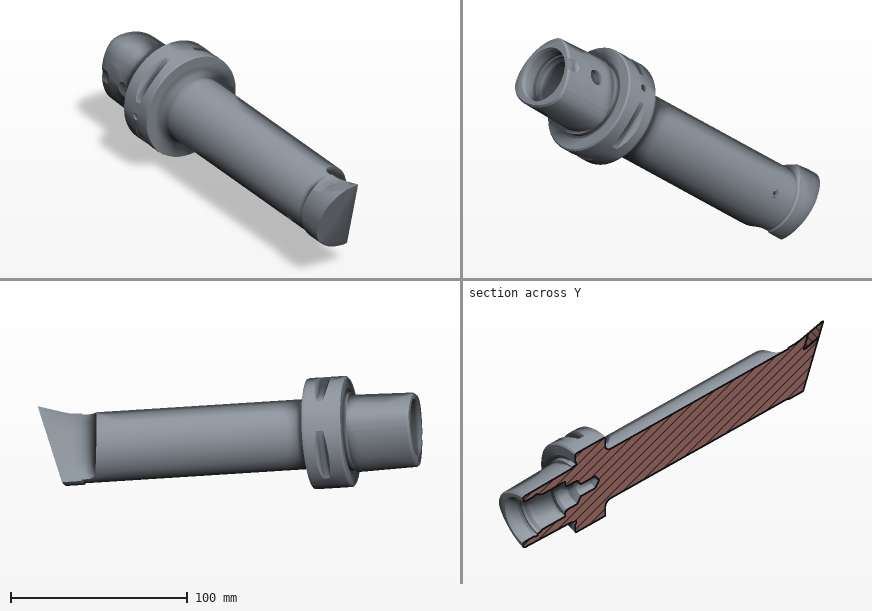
import cadquery as cq
import math


SHANK_END = 35.8
FLANGE_START = 37.7
FLANGE_END = 60.0
BAR_END = 191.6
TIP_X = 218.0

LOBE_HEIGHT = 1.61
SHANK_REAR_DIAMETER = 42.0
SHANK_TAPER = 0.025
SHANK_CHAMFER = 1.3
SHANK_CHAMFER_DROP = 0.9
LOBE_COUNT = 3
CURVE_STEPS = 8
NECK_RADIUS = 22.2
DRIVE_HOLE_X = 22.5
DRIVE_HOLE_RADIUS = 4.5
DRIVE_HOLE_DEPTH = 3.0
KEYWAY_RADIUS = 6.5
KEYWAY_FLOOR = 17.9
KEYWAY_LENGTH = 6.0
KEYWAY_CONE_ANGLE = 35.0
DRILL_POINT_ANGLE = 59.0

MOUTH_RADIUS = 16.4
ENTRY_RADIUS = 15.7
ENTRY_CHAMFER = 2.2
UNDERCUT_START = 8.5
UNDERCUT_END = 10.7
UNDERCUT_RADIUS = 16.4
STEP_RADIUS = 15.0
CONE_START = 12.5
CONE_END = 14.2
BORE_RADIUS = 13.7
BORE_DEPTH = 30.5
PILOT_MOUTH_RADIUS = 10.5
PILOT_RADIUS = 9.2
PILOT_DEPTH = 39.2
COOLANT_RADIUS = 4.5
COOLANT_DEPTH = 52.3

FLANGE_DIAMETER = 63.0
FLANGE_RADIUS = FLANGE_DIAMETER / 2
FLANGE_CHAMFER = 0.9
FLANGE_BEVEL = 1.3
FLANGE_BEVEL_DROP = 0.2
FACE_RECESS_RADIUS = 24.2
FACE_RECESS_DEPTH = 0.9
GROOVE_X = 49.7
GROOVE_FLOOR = 27.7
GROOVE_FLOOR_WIDTH = 3.7
GROOVE_RIM_WIDTH = 7.8
GROOVE_COUNT = 4
MARK_HOLE_RADIUS = 2.2
MARK_HOLE_DEPTH = 3.3

BAR_RADIUS = 19.8
BAR_FILLET = 4.0

HEAD_RADIUS = 20.7
HEAD_STRIP = 3.5
HEAD_TOP_RADIUS = 24.6
TIP_Z = 26.8
EDGE_ANGLE = 17.5
TOP_SLOPE_START = 202.5
TOP_ARC_START = 194.5
TOP_RELIEF = 0.15
FRONT_RELIEF = 0.1
RAKE_ANGLE = 3.6
SHOULDER_X = 189.2
SHOULDER_FILLET = 6.0
SHOULDER_ANGLE = 13.0

INSERT_EDGE = 11.5
INSERT_THICKNESS = 4.1
SCREW_X = 176.0
SCREW_ANGLE = 30.0
SCREW_RADIUS = 2.5
SCREW_LENGTH = 7.6
SCREW_CHAMFER = 0.5
SCREW_INSET = 0.5
SCREW_BOTTOM = BAR_RADIUS - SCREW_INSET - SCREW_LENGTH
SOCKET_SIDES = 6
SOCKET_FLATS = 2.6
SOCKET_DEPTH = 2.6

CLEARANCE = 4.4
DIAGONAL = math.sqrt(0.5)


def revolved(points):
    """Solid of revolution about the X axis from (x, radius) points."""
    profile = cq.Workplane("XY").polyline(points).close()
    return profile.revolve(360, (0, 0, 0), (1, 0, 0))


def trilobe_wire(x, mean_radius):
    """Constant-width three-lobed outline in the plane X = x, with one lobe toward +Y."""

    def point(angle):
        support = mean_radius + LOBE_HEIGHT * math.cos(LOBE_COUNT * angle)
        slope = -LOBE_COUNT * LOBE_HEIGHT * math.sin(LOBE_COUNT * angle)
        y = support * math.cos(angle) - slope * math.sin(angle)
        z = support * math.sin(angle) + slope * math.cos(angle)
        return cq.Vector(x, y, z)

    span = math.pi / LOBE_COUNT
    edges = []
    for index in range(2 * LOBE_COUNT):
        start = (index - 0.5) * span
        points = [point(start + span * step / CURVE_STEPS) for step in range(CURVE_STEPS + 1)]
        edges.append(cq.Edge.makeSpline(points))
    return cq.Wire.assembleEdges(edges)


def shank_radius(x):
    return SHANK_REAR_DIAMETER / 2 + SHANK_TAPER * x


def trilobe_frustum(x_start, radius_start, x_end, radius_end):
    wires = [trilobe_wire(x_start, radius_start), trilobe_wire(x_end, radius_end)]
    return cq.Workplane(obj=cq.Solid.makeLoft(wires, True))


def make_shank():
    chamfered_radius = shank_radius(0) - SHANK_CHAMFER_DROP
    chamfer_end_radius = shank_radius(SHANK_CHAMFER)
    lead_in = trilobe_frustum(0, chamfered_radius, SHANK_CHAMFER, chamfer_end_radius)
    taper = trilobe_frustum(SHANK_CHAMFER, chamfer_end_radius, SHANK_END, shank_radius(SHANK_END))
    return lead_in.union(taper)


def make_flange_and_bar():
    """Neck, flange with its face recess, fillet and bar, turned as one profile."""
    recess_end = FLANGE_START + FACE_RECESS_DEPTH
    bevel_radius = FLANGE_RADIUS - FLANGE_BEVEL_DROP
    fillet_end = FLANGE_END + BAR_FILLET
    fillet_middle = BAR_FILLET * (1 - DIAGONAL)
    profile = (
        cq.Workplane("XY")
        .moveTo(SHANK_END, 0)
        .lineTo(SHANK_END, NECK_RADIUS)
        .lineTo(recess_end, NECK_RADIUS)
        .lineTo(recess_end, FACE_RECESS_RADIUS)
        .lineTo(FLANGE_START, FACE_RECESS_RADIUS)
        .lineTo(FLANGE_START, FLANGE_RADIUS - FLANGE_CHAMFER)
        .lineTo(FLANGE_START + FLANGE_CHAMFER, FLANGE_RADIUS)
        .lineTo(FLANGE_END - FLANGE_BEVEL, FLANGE_RADIUS)
        .lineTo(FLANGE_END, bevel_radius)
        .lineTo(FLANGE_END, BAR_RADIUS + BAR_FILLET)
        .threePointArc(
            (FLANGE_END + fillet_middle, BAR_RADIUS + fillet_middle), (fillet_end, BAR_RADIUS)
        )
        .lineTo(BAR_END, BAR_RADIUS)
        .lineTo(BAR_END, 0)
        .close()
    )
    return profile.revolve(360, (0, 0, 0), (1, 0, 0))


def make_bore():
    """Stepped bore and drilled coolant hole, open at the rear face."""
    drill_slope = 1 / math.tan(math.radians(DRILL_POINT_ANGLE))
    pilot_mouth_end = BORE_DEPTH + PILOT_MOUTH_RADIUS - PILOT_RADIUS
    pilot_bottom = PILOT_DEPTH + (PILOT_RADIUS - COOLANT_RADIUS) * drill_slope
    return revolved([
        (0, 0),
        (0, MOUTH_RADIUS),
        (ENTRY_CHAMFER, ENTRY_RADIUS),
        (UNDERCUT_START, ENTRY_RADIUS),
        (UNDERCUT_START, UNDERCUT_RADIUS),
        (UNDERCUT_END, UNDERCUT_RADIUS),
        (UNDERCUT_END, STEP_RADIUS),
        (CONE_START, STEP_RADIUS),
        (CONE_END, BORE_RADIUS),
        (BORE_DEPTH, BORE_RADIUS),
        (BORE_DEPTH, PILOT_MOUTH_RADIUS),
        (pilot_mouth_end, PILOT_RADIUS),
        (PILOT_DEPTH, PILOT_RADIUS),
        (pilot_bottom, COOLANT_RADIUS),
        (COOLANT_DEPTH, COOLANT_RADIUS),
        (COOLANT_DEPTH + COOLANT_RADIUS * drill_slope, 0),
    ])


def drilled_hole(x, radius, floor_distance):
    """Hole entering from -Y, with a conical bottom below floor_distance from the tool axis."""
    point_length = radius / math.tan(math.radians(DRILL_POINT_ANGLE))
    profile = cq.Workplane("XY").polyline([
        (x, -floor_distance + point_length),
        (x + radius, -floor_distance),
        (x + radius, -FLANGE_RADIUS - CLEARANCE),
        (x, -FLANGE_RADIUS - CLEARANCE),
    ]).close()
    return profile.revolve(360, (x, 0, 0), (x, 1, 0))


def make_keyway():
    """Round-bottomed keyway on the -Y flat, running in from the rear face to a conical end."""
    cone_length = KEYWAY_RADIUS / math.tan(math.radians(KEYWAY_CONE_ANGLE))
    cutter = revolved([
        (-CLEARANCE, 0),
        (-CLEARANCE, KEYWAY_RADIUS),
        (KEYWAY_LENGTH, KEYWAY_RADIUS),
        (KEYWAY_LENGTH + cone_length, 0),
    ])
    return cutter.translate((0, -KEYWAY_FLOOR - KEYWAY_RADIUS, 0))


def make_gripper_groove(angle):
    """Straight trapezoidal groove across the flange rim, centred at an angle about X."""
    rim_depth = FLANGE_RADIUS - GROOVE_FLOOR
    flank_run = (GROOVE_RIM_WIDTH - GROOVE_FLOOR_WIDTH) / 2
    half_floor = GROOVE_FLOOR_WIDTH / 2
    half_top = half_floor + flank_run * (rim_depth + CLEARANCE) / rim_depth
    top = FLANGE_RADIUS + CLEARANCE
    section = cq.Workplane("XZ").polyline([
        (GROOVE_X - half_floor, GROOVE_FLOOR),
        (GROOVE_X + half_floor, GROOVE_FLOOR),
        (GROOVE_X + half_top, top),
        (GROOVE_X - half_top, top),
    ]).close()
    return section.extrude(FLANGE_RADIUS, both=True).rotate((0, 0, 0), (1, 0, 0), angle)


def oblique_prism(wire, relief_x, relief_z, y_end):
    """Sweep a wire drawn at Y = 0 from the +Y side to y_end, shifting it in X and Z on the way."""
    direction = cq.Vector(relief_x, 1, relief_z)
    start = wire.translate(direction * CLEARANCE)
    return cq.Workplane(obj=cq.Solid.extrudeLinear(start, [], direction * (y_end - CLEARANCE)))


def make_top_flank_prism():
    """Block below the top flank, which is level, then a concave arc, then a slope up to the tip."""
    slope = math.tan(math.radians(EDGE_ANGLE))
    arc_radius = (TOP_SLOPE_START - TOP_ARC_START) / math.sin(math.radians(EDGE_ANGLE))
    slope_start_z = TIP_Z - (TIP_X - TOP_SLOPE_START) * slope
    top_z = slope_start_z - arc_radius * (1 - math.cos(math.radians(EDGE_ANGLE)))
    half_angle = math.radians(EDGE_ANGLE / 2)
    arc_middle = (
        TOP_ARC_START + arc_radius * math.sin(half_angle),
        top_z + arc_radius * (1 - math.cos(half_angle)),
    )
    rear = BAR_END - CLEARANCE
    front = TIP_X + CLEARANCE
    outline = (
        cq.Workplane("XZ")
        .moveTo(rear, top_z)
        .lineTo(TOP_ARC_START, top_z)
        .threePointArc(arc_middle, (TOP_SLOPE_START, slope_start_z))
        .lineTo(front, TIP_Z + CLEARANCE * slope)
        .lineTo(front, -HEAD_TOP_RADIUS)
        .lineTo(rear, -HEAD_TOP_RADIUS)
        .close()
    )
    return oblique_prism(outline.val(), 0, TOP_RELIEF, -HEAD_RADIUS - CLEARANCE)


def make_front_flank_prism():
    """Block behind the front flank, which slants back from the tip down to the bottom."""
    slope = math.tan(math.radians(EDGE_ANGLE))
    top = TIP_Z + CLEARANCE
    bottom = -HEAD_TOP_RADIUS
    rear = BAR_END - CLEARANCE
    outline = cq.Workplane("XZ").polyline([
        (rear, top),
        (TIP_X + (top - TIP_Z) * slope, top),
        (TIP_X + (bottom - TIP_Z) * slope, bottom),
        (rear, bottom),
    ]).close()
    return oblique_prism(outline.val(), FRONT_RELIEF, 0, -HEAD_RADIUS - CLEARANCE)


def make_head():
    """Head section swept along X, blended into the bar by a 45 degree cone, with both flanks cut."""
    top_center_y = HEAD_TOP_RADIUS - HEAD_RADIUS
    section = (
        cq.Workplane("YZ", origin=(BAR_END, 0, 0))
        .moveTo(top_center_y, -math.sqrt(HEAD_RADIUS**2 - top_center_y**2))
        .threePointArc((-HEAD_RADIUS * DIAGONAL, -HEAD_RADIUS * DIAGONAL), (-HEAD_RADIUS, 0))
        .lineTo(-HEAD_RADIUS, HEAD_STRIP)
        .threePointArc(
            (top_center_y - HEAD_TOP_RADIUS * DIAGONAL, HEAD_STRIP + HEAD_TOP_RADIUS * DIAGONAL),
            (top_center_y, HEAD_STRIP + HEAD_TOP_RADIUS),
        )
        .close()
    )
    head_length = TIP_X - BAR_END
    blend_cone = revolved([
        (BAR_END, 0),
        (BAR_END, BAR_RADIUS),
        (TIP_X, BAR_RADIUS + head_length),
        (TIP_X, 0),
    ])
    head = section.extrude(head_length).intersect(blend_cone)
    return head.intersect(make_top_flank_prism()).intersect(make_front_flank_prism())


def make_rake_cutter():
    """Everything on the +Y side of the rake plane, back to the leaning, filleted shoulder."""
    lean = math.radians(SHOULDER_ANGLE)
    fillet_top = (
        SHOULDER_X - SHOULDER_FILLET * math.cos(lean),
        SHOULDER_FILLET * (1 - math.sin(lean)),
    )
    middle_angle = (math.pi / 2 - lean) / 2
    fillet_middle = (
        SHOULDER_X - SHOULDER_FILLET * math.sin(middle_angle),
        SHOULDER_FILLET * (1 - math.cos(middle_angle)),
    )
    height = BAR_RADIUS + CLEARANCE
    front = TIP_X + CLEARANCE
    outline = (
        cq.Workplane("XY")
        .moveTo(front, 0)
        .lineTo(SHOULDER_X, 0)
        .threePointArc(fillet_middle, fillet_top)
        .lineTo(fillet_top[0] - (height - fillet_top[1]) * math.tan(lean), height)
        .lineTo(front, height)
        .close()
    )
    cutter = outline.extrude(TIP_Z + BAR_RADIUS, both=True)
    return cutter.rotate((0, 0, TIP_Z), (1, 0, TIP_Z), RAKE_ANGLE)


def make_insert(rake_cutter):
    """Rhombic cutting insert whose two outer sides lie flush with the head flanks."""
    run = INSERT_EDGE * math.cos(math.radians(EDGE_ANGLE))
    rise = INSERT_EDGE * math.sin(math.radians(EDGE_ANGLE))
    outline = cq.Workplane("XZ").polyline([
        (TIP_X, TIP_Z),
        (TIP_X - run, TIP_Z - rise),
        (TIP_X - run - rise, TIP_Z - rise - run),
        (TIP_X - rise, TIP_Z - run),
    ]).close()
    slope = math.tan(math.radians(EDGE_ANGLE))
    corner_relief_z = (TOP_RELIEF + FRONT_RELIEF * slope) / (1 - slope**2)
    corner_relief_x = FRONT_RELIEF + corner_relief_z * slope
    body = oblique_prism(outline.val(), corner_relief_x, corner_relief_z, -INSERT_THICKNESS)
    return body.cut(rake_cutter)


def place_on_bar(body):
    """Turn a body built along +Z so that it points out of the bar at the set screw position."""
    return body.rotate((0, 0, 0), (1, 0, 0), 90 + SCREW_ANGLE).translate((SCREW_X, 0, 0))


def make_screw_hole():
    depth = SCREW_LENGTH + SCREW_INSET + CLEARANCE
    return place_on_bar(
        cq.Workplane("XY").workplane(offset=SCREW_BOTTOM).circle(SCREW_RADIUS).extrude(depth)
    )


def make_set_screw():
    corner_diameter = SOCKET_FLATS / math.cos(math.pi / SOCKET_SIDES)
    screw = (
        cq.Workplane("XY")
        .workplane(offset=SCREW_BOTTOM)
        .circle(SCREW_RADIUS)
        .extrude(SCREW_LENGTH)
        .faces(">Z")
        .chamfer(SCREW_CHAMFER)
        .faces(">Z")
        .workplane()
        .polygon(SOCKET_SIDES, corner_diameter)
        .cutBlind(-SOCKET_DEPTH)
    )
    return place_on_bar(screw)


def make_holder(rake_cutter, insert):
    shank_flat = shank_radius(DRIVE_HOLE_X) - LOBE_HEIGHT
    holder = make_shank().union(make_flange_and_bar()).union(make_head())
    holder = holder.cut(rake_cutter).cut(insert)
    holder = holder.cut(make_bore()).cut(make_keyway())
    holder = holder.cut(drilled_hole(DRIVE_HOLE_X, DRIVE_HOLE_RADIUS, shank_flat - DRIVE_HOLE_DEPTH))
    holder = holder.cut(drilled_hole(GROOVE_X, MARK_HOLE_RADIUS, FLANGE_RADIUS - MARK_HOLE_DEPTH))
    pitch = 360 / GROOVE_COUNT
    for index in range(GROOVE_COUNT):
        holder = holder.cut(make_gripper_groove((index + 0.5) * pitch))
    return holder.cut(make_screw_hole())


rake_cutter = make_rake_cutter()
insert = make_insert(rake_cutter)
holder = make_holder(rake_cutter, insert)
set_screw = make_set_screw()

result = cq.Compound.makeCompound([
    holder.solids().val(),
    insert.solids().val(),
    set_screw.solids().val(),
])